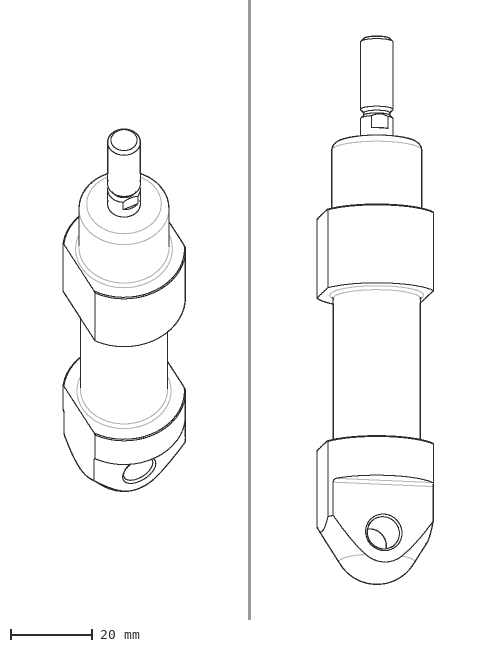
import cadquery as cq
import math

total_height = 135.8
lug_cone_start = 5.4
pivot_height = 11.1
rear_block_bottom = 23.9
rear_block_top = 33.8
front_block_bottom = 71.8
front_block_top = 91.5
cap_top = 109.9
wrench_flat_bottom = 112.8
neck_bottom = 115.8
neck_top = 118.1

block_radius = 30.0 / 2
front_flat_offset = 12.4
back_flat_offset = 13.6
block_depth = front_flat_offset + back_flat_offset
tube_diameter = 21.3
cap_diameter = 22.0
cap_round = 1.9
root_fillet = 0.8
rim_chamfer = 0.3

lug_thickness = 16.2
lug_tip_radius = 10.6
lug_cone_top = 14.8
pivot_diameter = 8.0
pivot_mouth_diameter = 9.1

rod_diameter = 8.0
neck_diameter = 6.4
wrench_width = 6.9
rod_chamfer = (rod_diameter - neck_diameter) / 2


def cylinder(diameter, bottom, top):
    """Round bar on the Z axis between two heights."""
    return cq.Workplane("XY").workplane(offset=bottom).circle(diameter / 2).extrude(top - bottom)


def slab(bottom, top):
    """Slab as wide as the blocks that fills the depth between the two block flats."""
    return (
        cq.Workplane("XY")
        .box(2 * block_radius, block_depth, top - bottom, centered=(True, False, False))
        .translate((0, -front_flat_offset, bottom))
    )


def flatted_block(bottom, top):
    """Round block with a chamfered upper rim, trimmed by one flat at the front and one at the back."""
    turned = cylinder(2 * block_radius, bottom, top).faces(">Z").edges().chamfer(rim_chamfer)
    return turned.intersect(slab(bottom, top))


def fillet_ring(diameter, face_height, direction):
    """Concave fillet around a round bar where it leaves a block face, going up (1) or down (-1)."""
    bar_radius = diameter / 2
    arc_offset = root_fillet * (1 - math.sqrt(0.5))
    return (
        cq.Workplane("XZ")
        .moveTo(0, face_height)
        .lineTo(bar_radius + root_fillet, face_height)
        .threePointArc(
            (bar_radius + arc_offset, face_height + direction * arc_offset),
            (bar_radius, face_height + direction * root_fillet),
        )
        .lineTo(0, face_height + direction * root_fillet)
        .close()
        .revolve(360, (0, 0, 0), (0, 1, 0))
    )


def make_lug_envelope():
    """Turned nose: a spherical tip, then a cone that opens out to the block radius."""
    def tip_radius_at(height):
        return math.sqrt(height * (2 * lug_tip_radius - height))

    mid_tip_height = lug_cone_start / 2
    return (
        cq.Workplane("XZ")
        .moveTo(0, 0)
        .threePointArc(
            (tip_radius_at(mid_tip_height), mid_tip_height),
            (tip_radius_at(lug_cone_start), lug_cone_start),
        )
        .lineTo(block_radius, lug_cone_top)
        .lineTo(block_radius, rear_block_bottom)
        .lineTo(0, rear_block_bottom)
        .close()
        .revolve(360, (0, 0, 0), (0, 1, 0))
    )


def make_lug_profile():
    """Lug cross-section along Y, flared by concave fillets where it meets the rear block."""
    half = lug_thickness / 2
    arc_offset = root_fillet * (1 - math.sqrt(0.5))
    fillet_bottom = rear_block_bottom - root_fillet
    return (
        cq.Workplane("XZ", origin=(0, back_flat_offset, 0))
        .moveTo(-half, 0)
        .lineTo(half, 0)
        .lineTo(half, fillet_bottom)
        .threePointArc(
            (half + arc_offset, rear_block_bottom - arc_offset),
            (half + root_fillet, rear_block_bottom),
        )
        .lineTo(-half - root_fillet, rear_block_bottom)
        .threePointArc(
            (-half - arc_offset, rear_block_bottom - arc_offset),
            (-half, fillet_bottom),
        )
        .close()
        .extrude(block_depth)
    )


def make_pivot_cutter():
    """Cross hole along X with a small chamfer at both mouths."""
    half = lug_thickness / 2
    bore_radius = pivot_diameter / 2
    mouth_radius = pivot_mouth_diameter / 2
    chamfer = mouth_radius - bore_radius
    return (
        cq.Workplane("XZ", origin=(0, 0, pivot_height))
        .polyline([
            (-half, 0),
            (-half, mouth_radius),
            (-half + chamfer, bore_radius),
            (half - chamfer, bore_radius),
            (half, mouth_radius),
            (half, 0),
        ])
        .close()
        .revolve(360, (0, 0, 0), (1, 0, 0))
    )


def make_housing():
    """Cylinder housing: rear lug, two flatted blocks, tube and rod-end cap."""
    lug = make_lug_envelope().intersect(make_lug_profile())
    rear_block = flatted_block(rear_block_bottom, rear_block_top)
    tube = cylinder(tube_diameter, rear_block_top, front_block_bottom)
    front_block = flatted_block(front_block_bottom, front_block_top)
    cap = cylinder(cap_diameter, front_block_top, cap_top).faces(">Z").edges().fillet(cap_round)
    return (
        rear_block.union(lug)
        .union(tube)
        .union(front_block)
        .union(cap)
        .union(fillet_ring(tube_diameter, rear_block_top, 1))
        .union(fillet_ring(tube_diameter, front_block_bottom, -1))
        .union(fillet_ring(cap_diameter, front_block_top, 1))
        .cut(make_pivot_cutter())
    )


def make_rod():
    """Piston rod standing on the cap, with an undercut neck and two wrench flats."""
    rod_radius = rod_diameter / 2
    neck_radius = neck_diameter / 2
    rod = (
        cq.Workplane("XZ")
        .polyline([
            (0, cap_top),
            (rod_radius, cap_top),
            (rod_radius, neck_bottom),
            (neck_radius, neck_bottom + rod_chamfer),
            (neck_radius, neck_top - rod_chamfer),
            (rod_radius, neck_top),
            (rod_radius, total_height - rod_chamfer),
            (neck_radius, total_height),
            (0, total_height),
        ])
        .close()
        .revolve(360, (0, 0, 0), (0, 1, 0))
    )
    flat_depth = (rod_diameter - wrench_width) / 2
    flat_height = neck_bottom + rod_chamfer - wrench_flat_bottom
    for side in (-1, 1):
        flat_cutter = (
            cq.Workplane("XY")
            .box(flat_depth, rod_diameter, flat_height, centered=(True, True, False))
            .translate((side * (wrench_width + flat_depth) / 2, 0, wrench_flat_bottom))
        )
        rod = rod.cut(flat_cutter)
    return rod


housing = make_housing()
rod = make_rod()
result = cq.Compound.makeCompound([housing.val(), rod.val()])